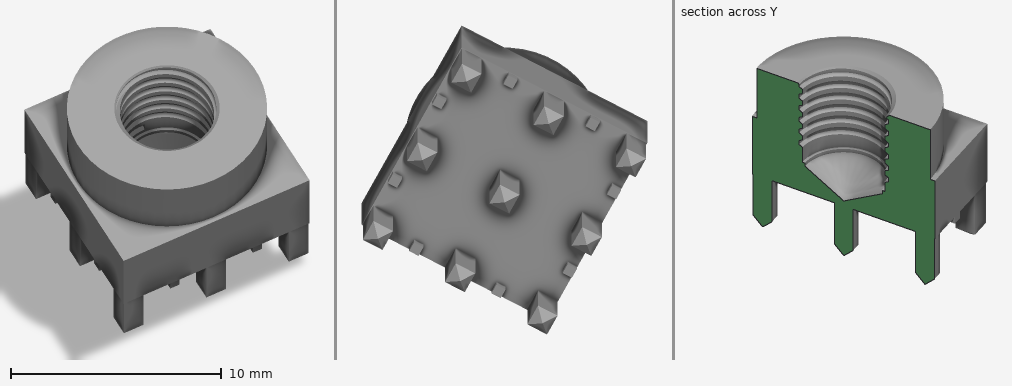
import cadquery as cq
import math

base_side = 10.0
base_bottom_z = 3.0
base_top_z = 6.5
collar_diameter = 9.5
top_z = 9.5

pin_pitch = 4.43
pins_per_side = 3
pin_width = 1.06
pin_tip_height = pin_width / 2

foot_width = 0.5
foot_height = 0.47
foot_row_offset = pin_pitch + (pin_width - foot_width) / 2

bore_radius = 2.24
bore_bottom_z = 4.8
drill_radius = 4.2 / 2
drill_shoulder_z = 4.6
drill_point_angle = 118.0
mouth_radius = 2.5

thread_pitch = 0.7
thread_root_radius = 2.42
thread_root_width = 0.23
thread_flank_angle = 30.0
thread_start_z = 5.21
thread_turns = 7
groove_overlap = 0.05


def make_body():
    base = (
        cq.Workplane("XY")
        .workplane(offset=base_bottom_z)
        .rect(base_side, base_side)
        .extrude(base_top_z - base_bottom_z)
    )
    return base.faces(">Z").workplane().circle(collar_diameter / 2).extrude(top_z - base_top_z)


def make_pin():
    shaft = (
        cq.Workplane("XY")
        .workplane(offset=pin_tip_height)
        .rect(pin_width, pin_width)
        .extrude(base_bottom_z - pin_tip_height)
    )
    half = pin_width / 2
    profile = [(-half, pin_tip_height), (half, pin_tip_height), (0, 0)]
    ridge_x = cq.Workplane("XZ").polyline(profile).close().extrude(half, both=True)
    ridge_y = cq.Workplane("YZ").polyline(profile).close().extrude(half, both=True)
    return shaft.union(ridge_x.intersect(ridge_y))


def add_pins(part):
    pin = make_pin()
    middle = (pins_per_side - 1) / 2
    for column in range(pins_per_side):
        for row in range(pins_per_side):
            position = ((column - middle) * pin_pitch, (row - middle) * pin_pitch, 0)
            part = part.union(pin.translate(position))
    return part


def add_feet(part):
    places = []
    for along in (-pin_pitch / 2, pin_pitch / 2):
        for across in (-foot_row_offset, foot_row_offset):
            places.append((along, across))
            places.append((across, along))
    feet = (
        cq.Workplane("XY")
        .workplane(offset=base_bottom_z)
        .pushPoints(places)
        .rect(foot_width, foot_width)
        .extrude(-foot_height)
    )
    return part.union(feet)


def make_hole():
    point_height = drill_radius / math.tan(math.radians(drill_point_angle / 2))
    mouth_depth = mouth_radius - bore_radius
    half_section = [
        (0, drill_shoulder_z - point_height),
        (drill_radius, drill_shoulder_z),
        (drill_radius, bore_bottom_z),
        (bore_radius, bore_bottom_z),
        (bore_radius, top_z - mouth_depth),
        (mouth_radius, top_z),
        (0, top_z),
    ]
    return cq.Workplane("XZ").polyline(half_section).close().revolve(360, (0, 0), (0, 1))


def make_thread_groove():
    inner_radius = bore_radius - groove_overlap
    flank_rise = (thread_root_radius - inner_radius) * math.tan(math.radians(thread_flank_angle))
    root_half = thread_root_width / 2
    inner_half = root_half + flank_rise
    section = [
        (-inner_radius, thread_start_z - inner_half),
        (-thread_root_radius, thread_start_z - root_half),
        (-thread_root_radius, thread_start_z + root_half),
        (-inner_radius, thread_start_z + inner_half),
    ]
    helix = cq.Wire.makeHelix(thread_pitch, thread_pitch * thread_turns, bore_radius)
    helix = helix.rotate(cq.Vector(0, 0, 0), cq.Vector(0, 0, 1), 180)
    path = cq.Workplane(helix.translate(cq.Vector(0, 0, thread_start_z)))
    return cq.Workplane("XZ").polyline(section).close().sweep(path, isFrenet=True)


result = add_feet(add_pins(make_body())).cut(make_hole()).cut(make_thread_groove())